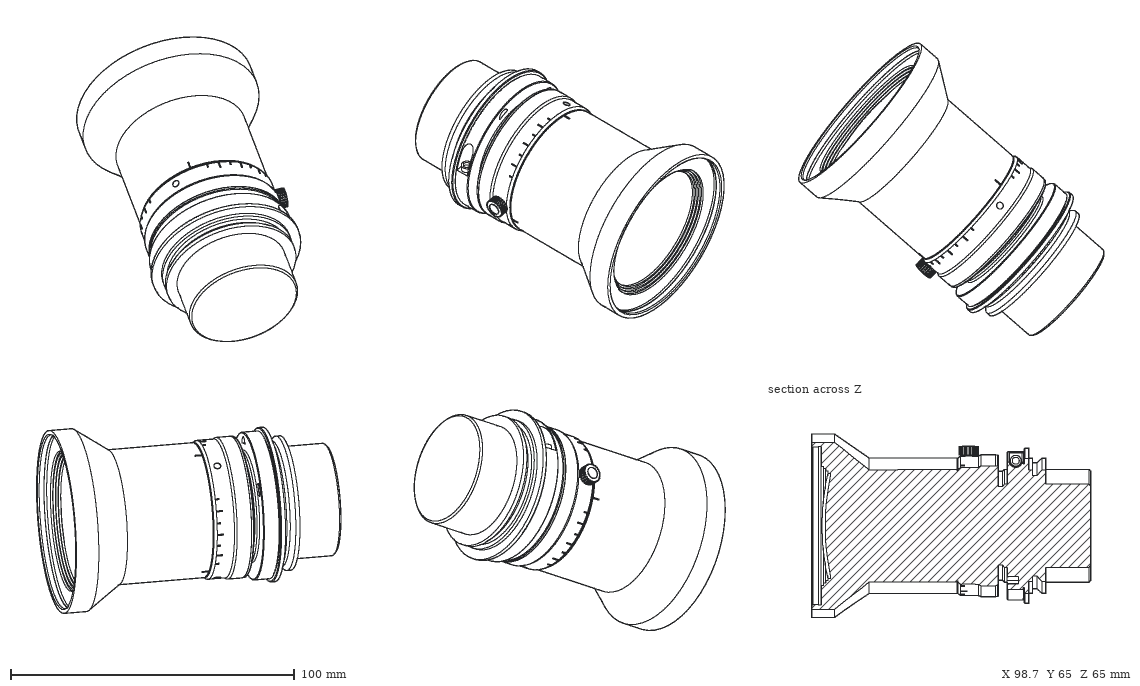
import cadquery as cq
import math

LENGTH = 98.7
HOOD_END = 8.1
CONE_END = 20.3
TUBE_END = 51.4
IRIS_LIP_START = 51.7
IRIS_START = 52.3
IRIS_SCALE_START = 52.7
IRIS_END = 58.9
FOCUS_START = 59.8
FOCUS_STEP = 65.1
FOCUS_END = 66.1
NECK_END = 67.5
CLAMP_START = 69.1
CLAMP_END = 74.8
FLANGE_START = 75.1
FLANGE_END = 76.8
STEP_END = 78.1
DOVETAIL_START = 79.7
DOVETAIL_RIM = 81.4
DOVETAIL_END = 82.8

HOOD_R = 32.5
TUBE_R = 24.0
TUBE_GROOVE_R = 23.7
IRIS_LIP_R = 24.5
IRIS_R = 24.7
FOCUS_R = 25.2
FOCUS_STEP_R = 25.1
NECK_R = 19.4
BARREL_D = 40.0
BARREL_R = BARREL_D / 2
CLAMP_R = 26.3
FLANGE_R = 27.45
FLANGE_GROOVE_R = 25.7
STEP_R = 23.9
DOVETAIL_R = 22.3
BARREL_CHAMFER = 0.7
EDGE = 0.3

RIM_R = 31.1
RIM_LIP = 0.6
BORE_R = 30.8
RELIEF_START = 2.4
RELIEF_R = 31.0
BORE_DEPTH = 3.4
SEAT_STEPS = 4
SEAT_OUTER_R = 24.9
SEAT_INNER_R = 22.8
SEAT_DEPTH = 6.6
LENS_R = 22.3
LENS_BULGE = 3.0

REPEATS = 3
PITCH = 360 / REPEATS
SCALE_START = 60
TICK_STEP = 10
TICK_COUNT = 7
TICK_X = 52.9
SHORT_TICK = 1.1
LONG_TICK = 2.1
TICK_WIDTH = 0.35
MARK_DEPTH = 0.2
INDEX_ANGLE = 14
INDEX_LENGTH = 2.6
HOLE_X = 55.5
HOLE_ANGLE = 30
HOLE_D = 2.5

KNOB_R = 3.5
KNOB_BASE = 25.0
STEM_DEPTH = 1.0
KNOB_TOP = 28.0
KNOB_CAP_R = 2.1
KNOB_CAP_TOP = 28.2
KNURLS = 24
KNURL_R = 0.25

SCREW_X = 72.2
SCREW_Y = 23.0
POCKET_D = 4.5
POCKET_FLOOR = 5.5
SCREW_HEAD_D = 3.9
SCREW_HEAD_H = 2.0
SOCKET_D = 2.5
SOCKET_DEPTH = 1.2

SCALLOP_D = 4.5
SCALLOP_R = 22.4
SCALLOP_DEPTH = 3.95
SCALLOP_ANGLES = (54, -16)


def turned_body():
    """Revolve the half section of the lens about the X axis."""
    sphere_r = (LENS_R**2 + LENS_BULGE**2) / (2 * LENS_BULGE)
    apex_x = SEAT_DEPTH - LENS_BULGE
    mid_r = LENS_R / 2
    mid_x = apex_x + sphere_r - math.sqrt(sphere_r**2 - mid_r**2)
    step_depth = (SEAT_DEPTH - BORE_DEPTH) / SEAT_STEPS
    step_width = (SEAT_OUTER_R - SEAT_INNER_R) / (SEAT_STEPS - 1)
    profile = (
        cq.Workplane("XY")
        .moveTo(apex_x, 0)
        .threePointArc((mid_x, mid_r), (SEAT_DEPTH, LENS_R))
    )
    for step in range(SEAT_STEPS):
        step_r = SEAT_INNER_R + step * step_width
        step_x = SEAT_DEPTH - step * step_depth
        profile = profile.lineTo(step_x, step_r).lineTo(step_x - step_depth, step_r)
    profile = (
        profile.lineTo(BORE_DEPTH, RELIEF_R)
        .lineTo(RELIEF_START, RELIEF_R)
        .lineTo(RELIEF_START, BORE_R)
        .lineTo(RIM_LIP, BORE_R)
        .lineTo(0, RIM_R)
        .lineTo(0, HOOD_R)
        .lineTo(HOOD_END, HOOD_R)
        .lineTo(CONE_END, TUBE_R)
        .lineTo(TUBE_END, TUBE_R)
        .lineTo(TUBE_END, TUBE_GROOVE_R)
        .lineTo(IRIS_LIP_START, TUBE_GROOVE_R)
        .lineTo(IRIS_LIP_START, TUBE_R)
        .lineTo(IRIS_START, IRIS_LIP_R)
        .lineTo(IRIS_SCALE_START, IRIS_R)
        .lineTo(IRIS_END, IRIS_R)
        .lineTo(FOCUS_START, FOCUS_R)
        .lineTo(FOCUS_STEP, FOCUS_R)
        .lineTo(FOCUS_STEP, FOCUS_STEP_R)
        .lineTo(FOCUS_END - EDGE, FOCUS_STEP_R)
        .lineTo(FOCUS_END, FOCUS_STEP_R - EDGE)
        .lineTo(FOCUS_END, NECK_R)
        .lineTo(NECK_END, NECK_R)
        .lineTo(NECK_END + BARREL_R - NECK_R, BARREL_R)
        .lineTo(CLAMP_START, BARREL_R)
        .lineTo(CLAMP_START, CLAMP_R - EDGE)
        .lineTo(CLAMP_START + EDGE, CLAMP_R)
        .lineTo(CLAMP_END, CLAMP_R)
        .lineTo(CLAMP_END, FLANGE_GROOVE_R)
        .lineTo(FLANGE_START, FLANGE_GROOVE_R)
        .lineTo(FLANGE_START, FLANGE_R - EDGE)
        .lineTo(FLANGE_START + EDGE, FLANGE_R)
        .lineTo(FLANGE_END, FLANGE_R)
        .lineTo(FLANGE_END, STEP_R)
        .lineTo(STEP_END, STEP_R)
        .lineTo(STEP_END, DOVETAIL_R)
        .lineTo(DOVETAIL_START, DOVETAIL_R)
        .lineTo(DOVETAIL_RIM, STEP_R)
        .lineTo(DOVETAIL_END, STEP_R)
        .lineTo(DOVETAIL_END, BARREL_R)
        .lineTo(LENGTH - BARREL_CHAMFER, BARREL_R)
        .lineTo(LENGTH, BARREL_R - BARREL_CHAMFER)
        .lineTo(LENGTH, 0)
        .close()
    )
    return profile.revolve(360, (0, 0, 0), (1, 0, 0))


def turn(shape, angle):
    """Turn a shape made on the +Z side about X, toward -Y."""
    return shape.rotate((0, 0, 0), (1, 0, 0), angle)


def engraved_line(start_x, length, radius, angle):
    """Cutter for a line along X, sunk by MARK_DEPTH at the given radius."""
    height = 2 * MARK_DEPTH
    line = cq.Workplane("XY").box(length, TICK_WIDTH, height, centered=(False, True, True))
    return turn(line.translate((start_x, 0, radius)), angle)


def iris_marks():
    """Cutters for the scale ticks, the index lines and the fixing holes."""
    cutters = []
    for repeat in range(REPEATS):
        base = repeat * PITCH
        for tick in range(TICK_COUNT):
            length = LONG_TICK if tick % 2 else SHORT_TICK
            angle = base + SCALE_START + tick * TICK_STEP
            cutters.append(engraved_line(TICK_X, length, IRIS_R, angle))
        index_x = TUBE_END - INDEX_LENGTH
        cutters.append(engraved_line(index_x, INDEX_LENGTH, TUBE_R, base + INDEX_ANGLE))
        hole_floor = cq.Workplane("XY", origin=(HOLE_X, 0, IRIS_R - MARK_DEPTH))
        hole = hole_floor.circle(HOLE_D / 2).extrude(2 * MARK_DEPTH)
        cutters.append(turn(hole, base + HOLE_ANGLE))
    return cutters


def knob():
    """Knurled thumb screw standing on the iris ring, made along +Z and turned to +Y."""
    base = cq.Workplane("XY", origin=(0, 0, KNOB_BASE))
    head_height = KNOB_TOP - KNOB_BASE
    head = base.circle(KNOB_R).extrude(head_height)
    grooves = base.polarArray(KNOB_R, 0, 360, KNURLS).circle(KNURL_R).extrude(head_height)
    cap = base.circle(KNOB_CAP_R).extrude(KNOB_CAP_TOP - KNOB_BASE)
    stem_base = IRIS_R - STEM_DEPTH
    stem = cq.Workplane("XY", origin=(0, 0, stem_base)).circle(HOLE_D / 2).extrude(KNOB_TOP - stem_base)
    screw = head.cut(grooves).union(cap).union(stem)
    return turn(screw.translate((HOLE_X, 0, 0)), -90)


def screw_pocket():
    """Round pocket opening toward +Y."""
    floor = cq.Workplane("XY", origin=(SCREW_X, SCREW_Y, POCKET_FLOOR))
    round_end = floor.circle(POCKET_D / 2).extrude(CLAMP_R)
    mouth = floor.center(0, POCKET_D / 2).rect(POCKET_D, POCKET_D).extrude(CLAMP_R)
    return round_end.union(mouth)


def clamp_screw():
    """Socket head of the clamp screw, standing on the pocket floor."""
    return (
        cq.Workplane("XY", origin=(SCREW_X, SCREW_Y, POCKET_FLOOR))
        .circle(SCREW_HEAD_D / 2)
        .extrude(SCREW_HEAD_H)
        .faces(">Z")
        .workplane()
        .hole(SOCKET_D, SOCKET_DEPTH)
    )


def scallops():
    """Round axial holes, halved by a core cylinder that stays on their inner side."""
    face = cq.Workplane("YZ", origin=(CLAMP_START, 0, 0))
    core = face.circle(SCALLOP_R).extrude(SCALLOP_DEPTH)
    hole = face.center(0, SCALLOP_R).circle(SCALLOP_D / 2).extrude(SCALLOP_DEPTH).cut(core)
    return [turn(hole, angle) for angle in SCALLOP_ANGLES]


body = turned_body()
for cutter in iris_marks() + scallops():
    body = body.cut(cutter)
body = body.cut(screw_pocket()).union(clamp_screw())
result = body.union(knob())